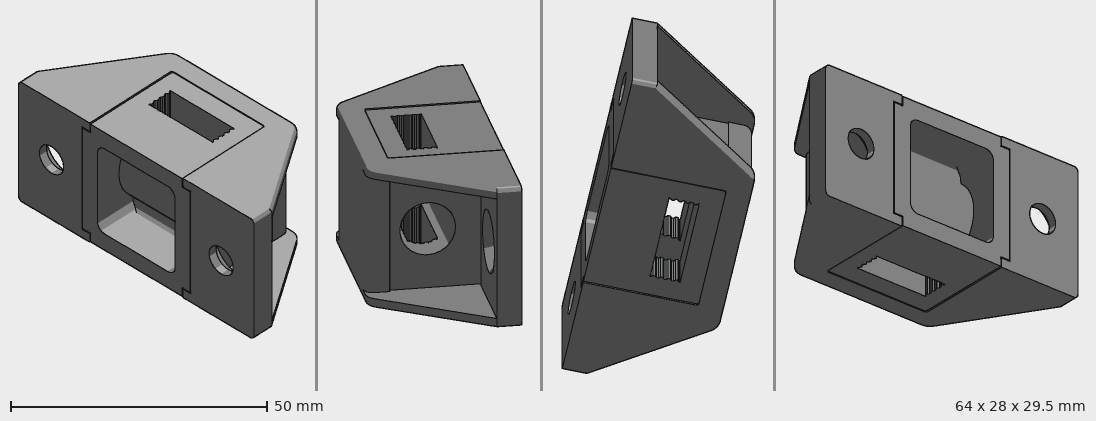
import cadquery as cq
import math

LENGTH = 64.0
DEPTH = 28.0
HEIGHT = 29.5

WALL = 5.0
PLATE = 2.1
BACK_CORNER_X = 16.9
BACK_CORNER_R = 3.0
OUTER_EDGE_R = 1.0
BACK_WALL_R = 2.0
MOUNT_HOLE_X = 23.05
MOUNT_HOLE_D = 6.5
MOUNT_HOLE_DEPTH = 2.0
COUNTERSINK_D = 12.7
WINDOW_CORNER_R = 0.5

GAP = 0.2
SEAT_HALF = HEIGHT / 2
WINDOW_HALF = HEIGHT / 2 - PLATE
INSERT_HALF = SEAT_HALF - GAP
ARM_HALF = WINDOW_HALF - GAP
INSERT_DEPTH = DEPTH - WALL

AXIS_Y = 15.5
BORE_D = 11.0
SLOT_WIDTH = 6.0
SLOT_HALF_LENGTH = 8.65
TOOTH_HEIGHT = 0.3
TOOTH_TIP = 0.45
TOOTH_COUNT = 4

POCKET_SIZE = 21.05
POCKET_CORNER_R = 2.0
POCKET_FLOOR_Y = 10.0
FLOOR_R = 1.0
RIDGE_R = 9.5
RIDGE_ROOT_R = 1.0


def block(half_x, half_z, depth):
    """Box standing on the front plane, centred in x and z."""
    return cq.Workplane("XY").box(2 * half_x, depth, 2 * half_z, centered=(True, False, True))


def make_envelope():
    """Trapezoidal block with every outer edge rounded except around the front face."""
    half = LENGTH / 2
    outline = [(-half, 0), (half, 0), (half, WALL), (BACK_CORNER_X, DEPTH),
               (-BACK_CORNER_X, DEPTH), (-half, WALL)]
    body = cq.Workplane("XY").workplane(offset=-HEIGHT / 2).polyline(outline).close().extrude(HEIGHT)
    body = body.edges("|Z and >Y").fillet(BACK_CORNER_R)
    return body.faces("<Z or >Z").edges("not <Y").fillet(OUTER_EDGE_R)


def make_mount_holes():
    """Screw holes through the flanges, countersunk from behind."""
    hole_radius = MOUNT_HOLE_D / 2
    sink_radius = COUNTERSINK_D / 2
    half_section = [(0, 0), (hole_radius, 0), (hole_radius, MOUNT_HOLE_DEPTH), (sink_radius, WALL), (0, WALL)]
    hole = cq.Workplane("XY").polyline(half_section).close().revolve(360, (0, 0, 0), (0, 1, 0))
    return [hole.translate((x, 0, 0)) for x in (-MOUNT_HOLE_X, MOUNT_HOLE_X)]


def make_housing():
    """Two plates joined by the mounting flanges in front and the back wall behind."""
    back_wall = block(SEAT_HALF, WINDOW_HALF, DEPTH).edges("|Z and >Y").fillet(BACK_WALL_R)
    side_opening = block(LENGTH, WINDOW_HALF, DEPTH).translate((0, WALL, 0)).cut(back_wall)
    seat = block(SEAT_HALF, WINDOW_HALF, INSERT_DEPTH)
    window = block(WINDOW_HALF, HEIGHT, INSERT_DEPTH).edges("|Z and >Y").fillet(WINDOW_CORNER_R)
    housing = make_envelope()
    for void in (side_opening, seat, window, *make_mount_holes()):
        housing = housing.cut(void)
    return housing


def make_pocket():
    """Space of the front pocket: coved floor with a cylindrical ridge standing in it."""
    half = POCKET_SIZE / 2
    cos_root = (AXIS_Y - POCKET_FLOOR_Y + RIDGE_ROOT_R) / (RIDGE_R + RIDGE_ROOT_R)
    root_angle = math.acos(cos_root)
    root_z = (RIDGE_R + RIDGE_ROOT_R) * math.sin(root_angle)
    ridge_y = AXIS_Y - RIDGE_R * cos_root
    ridge_z = RIDGE_R * math.sin(root_angle)
    root_mid_y = POCKET_FLOOR_Y - RIDGE_ROOT_R + RIDGE_ROOT_R * math.cos(root_angle / 2)
    root_mid_z = root_z - RIDGE_ROOT_R * math.sin(root_angle / 2)
    cove_mid = FLOOR_R * (1 - math.sqrt(0.5))
    profile = (
        cq.Workplane("YZ").workplane(offset=-half)
        .moveTo(0, half)
        .lineTo(POCKET_FLOOR_Y - FLOOR_R, half)
        .threePointArc((POCKET_FLOOR_Y - cove_mid, half - cove_mid), (POCKET_FLOOR_Y, half - FLOOR_R))
        .lineTo(POCKET_FLOOR_Y, root_z)
        .threePointArc((root_mid_y, root_mid_z), (ridge_y, ridge_z))
        .threePointArc((AXIS_Y - RIDGE_R, 0), (ridge_y, -ridge_z))
        .threePointArc((root_mid_y, -root_mid_z), (POCKET_FLOOR_Y, -root_z))
        .lineTo(POCKET_FLOOR_Y, FLOOR_R - half)
        .threePointArc((POCKET_FLOOR_Y - cove_mid, cove_mid - half), (POCKET_FLOOR_Y - FLOOR_R, -half))
        .lineTo(0, -half)
        .close()
    )
    rounded_mouth = block(half, half, DEPTH).edges("|Y").fillet(POCKET_CORNER_R)
    return profile.extrude(POCKET_SIZE).intersect(rounded_mouth)


def make_slot():
    """Vertical strap slot with trapezoidal teeth along both short ends."""
    pitch = SLOT_WIDTH / TOOTH_COUNT
    start_y = AXIS_Y - SLOT_WIDTH / 2
    root_x = SLOT_HALF_LENGTH
    tip_x = SLOT_HALF_LENGTH - TOOTH_HEIGHT
    half_base = TOOTH_TIP / 2 + TOOTH_HEIGHT
    right_end = [(root_x, start_y)]
    for i in range(TOOTH_COUNT):
        middle_y = start_y + (i + 0.5) * pitch
        right_end += [
            (root_x, middle_y - half_base),
            (tip_x, middle_y - TOOTH_TIP / 2),
            (tip_x, middle_y + TOOTH_TIP / 2),
            (root_x, middle_y + half_base),
        ]
    right_end.append((root_x, start_y + SLOT_WIDTH))
    left_end = [(-x, y) for x, y in reversed(right_end)]
    outline = cq.Workplane("XY").workplane(offset=-HEIGHT / 2).polyline(right_end + left_end).close()
    return outline.extrude(HEIGHT)


def make_insert():
    """Plus-shaped block that slides into the housing from the front."""
    core = block(INSERT_HALF, ARM_HALF, INSERT_DEPTH)
    arms = block(ARM_HALF, INSERT_HALF, INSERT_DEPTH).edges("|Z and >Y").fillet(WINDOW_CORNER_R)
    bore = (
        cq.Workplane("YZ").workplane(offset=-LENGTH / 2)
        .center(AXIS_Y, 0).circle(BORE_D / 2).extrude(LENGTH)
    )
    insert = core.union(arms)
    for void in (bore, make_pocket(), make_slot()):
        insert = insert.cut(void)
    return insert


housing = make_housing()
insert = make_insert()
result = cq.Compound.makeCompound([housing.val(), insert.val()])